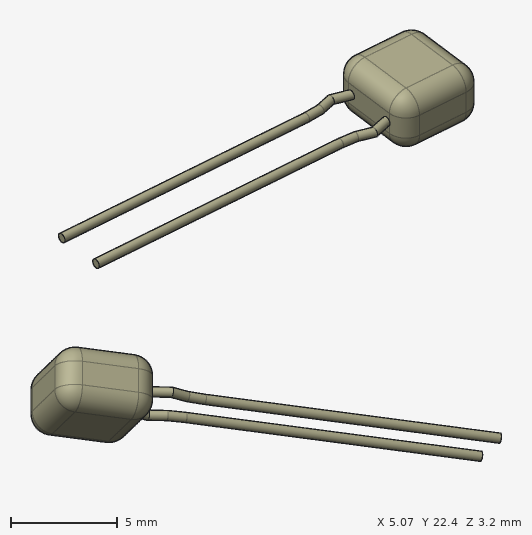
import cadquery as cq


overall_length = 22.35
block_width = 5.07
block_depth = 4.83
block_height = 3.2
block_fillet = 1.0

wire_diameter = 0.5
entry_half_spacing = 1.32
kink_half_spacing = 1.6
return_half_spacing = 1.35
straight_half_spacing = 1.27

kink_drop = 0.98
return_drop = 1.85
straight_drop = 2.75
tip_drop = overall_length - block_depth


def make_block():
    """Block with every edge rounded, its lead face on Y = 0."""
    return (
        cq.Workplane("XY")
        .box(block_width, block_depth, block_height, centered=(True, False, True))
        .edges()
        .fillet(block_fillet)
    )


def make_lead(side, block):
    """Bent wire with mitred bends, trimmed to end on the block's surface; side is -1 or +1."""
    entry_slope = (kink_half_spacing - entry_half_spacing) / kink_drop
    start_rise = wire_diameter
    start_half_spacing = entry_half_spacing - entry_slope * start_rise

    axis_points = [
        (side * straight_half_spacing, -tip_drop),
        (side * straight_half_spacing, -straight_drop),
        (side * return_half_spacing, -return_drop),
        (side * kink_half_spacing, -kink_drop),
        (side * start_half_spacing, start_rise),
    ]
    axis = cq.Workplane("XY").polyline(axis_points)
    wire = (
        cq.Workplane("XZ", origin=(*axis_points[0], 0))
        .circle(wire_diameter / 2)
        .sweep(axis, transition="right")
    )
    return wire.cut(block).solids()


block = make_block()
leads = [make_lead(side, block) for side in (-1, 1)]

result = cq.Compound.makeCompound([block.val(), *[lead.val() for lead in leads]])